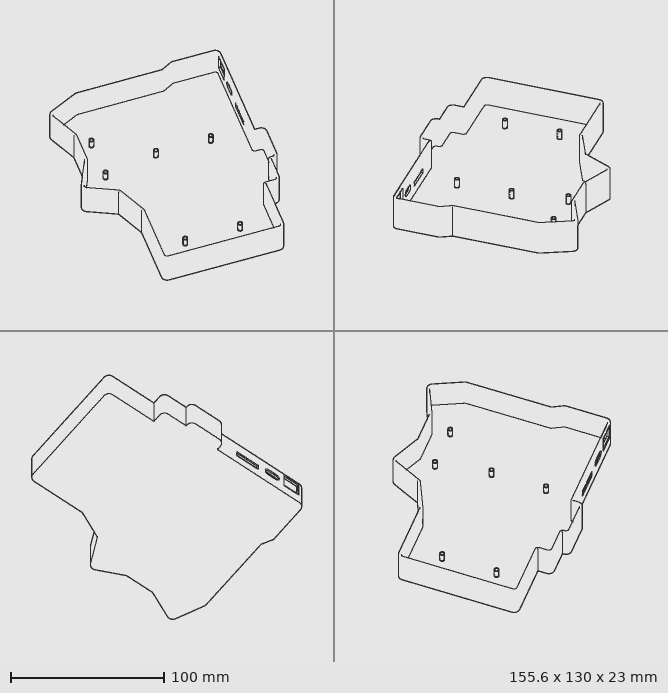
import cadquery as cq
import math

length = 155.6
width = 130.0
height = 23.0
wall = 2.0
floor = 2.5
corner_radius = 4.0
rim_fillet = 0.55

left = -length / 2
right = length / 2
back = width / 2
front = -width / 2
rear_left_y = 57.9
bump_left_x = -6.4
bump_right_x = 21.0
rear_step_y = 60.1
rear_step_x = 39.8
rear_right_y = 50.0
front_right_y = -34.5
left_bend_y = 24.9
left_inset_y = 17.0
left_inset_x = -73.6
thumb_left_x = -73.5
thumb_left_y = -42.8

splay = math.radians(25)
thumb_edge_y = -55.7
arm_inner_x = 14.8
right_tip_x = 4.2
tip_y = front - corner_radius * (math.cos(splay) + math.sin(splay) - 1)
left_tip_x = thumb_left_x + (thumb_left_y - tip_y) * math.tan(splay)
edge_run = (thumb_edge_y - tip_y) / math.tan(splay)
arm_inner_y = tip_y + (arm_inner_x - right_tip_x) / math.tan(splay)
arm_outer_x = arm_inner_x + (front_right_y - arm_inner_y) / math.tan(splay)

outline = [
    (left, rear_left_y, True),
    (bump_left_x, rear_left_y, False),
    (bump_left_x, back, True),
    (bump_right_x, back, True),
    (bump_right_x, rear_step_y, False),
    (rear_step_x, rear_step_y, True),
    (rear_step_x, rear_right_y, False),
    (right, rear_right_y, True),
    (right, front_right_y, True),
    (arm_outer_x, front_right_y, False),
    (arm_inner_x, arm_inner_y, False),
    (right_tip_x, tip_y, True),
    (right_tip_x - edge_run, thumb_edge_y, False),
    (left_tip_x + edge_run, thumb_edge_y, False),
    (left_tip_x, tip_y, True),
    (thumb_left_x, thumb_left_y, True),
    (left_inset_x, left_inset_y, False),
    (left, left_bend_y, True),
]

post_diameter = 3.3
post_hole_diameter = 2.2
post_height = 6.2
post_centres = [
    (-21.5, 32.7),
    (-21.5, -5.3),
    (54.6, 26.6),
    (54.6, -11.4),
    (-43.5, -42.3),
    (-15.0, -42.3),
]

window_x, window_z = -67.4, 15.5
window_length, window_height = 11.2, 11.5
port_x, port_z = -51.5, 12.9
port_length, port_height = 10.3, 4.5
slot_x, slot_z = -31.1, 10.6
slot_length, slot_height = 16.5, 3.1
opening_flare = 0.6


def make_body():
    """Solid block with the case outline and its outward corners rounded."""
    points = [(x, y) for x, y, _ in outline]
    body = cq.Workplane("XY").polyline(points).close().extrude(height)
    for x, y, rounded in outline:
        if rounded:
            edge = cq.selectors.NearestToPointSelector((x, y, height / 2))
            body = body.edges("|Z").edges(edge).fillet(corner_radius)
    return body


def make_case():
    """Open tray with a level floor and a rim rounded inside and outside."""
    body = make_body()
    base = body.faces("<Z").wires().toPending().offset2D(-wall, "arc")
    cavity = base.extrude(height, combine=False).translate((0, 0, floor))
    return body.cut(cavity).faces(">Z").fillet(rim_fillet)


def make_post(x, y):
    """Tube standing on the floor, its hole stopping at the floor."""
    return (
        cq.Workplane("XY", origin=(x, y, floor))
        .circle(post_diameter / 2)
        .circle(post_hole_diameter / 2)
        .extrude(post_height)
    )


def rear_wall_plane(x, z):
    """Workplane on the outside of the rear left wall, its normal pointing into the case."""
    return cq.Workplane("XZ", origin=(x, rear_left_y, z))


def rectangle_cutter(x, z, size_x, size_z):
    """Rectangular opening through the wall, flared at the outside."""
    plane = rear_wall_plane(x, z)
    hole = plane.rect(size_x, size_z).extrude(wall)
    mouth = plane.rect(size_x + 2 * opening_flare, size_z + 2 * opening_flare)
    return hole.union(mouth.extrude(opening_flare, taper=45))


def stadium_cutter(x, z, size_x, size_z):
    """Round-ended opening through the wall, flared at the outside."""
    plane = rear_wall_plane(x, z)
    hole = plane.slot2D(size_x, size_z).extrude(wall)
    mouth = plane.slot2D(size_x + 2 * opening_flare, size_z + 2 * opening_flare)
    return hole.union(mouth.extrude(opening_flare, taper=45))


result = make_case()
for post_x, post_y in post_centres:
    result = result.union(make_post(post_x, post_y))

result = result.cut(rectangle_cutter(window_x, window_z, window_length, window_height))
result = result.cut(stadium_cutter(port_x, port_z, port_length, port_height))
result = result.cut(rectangle_cutter(slot_x, slot_z, slot_length, slot_height))